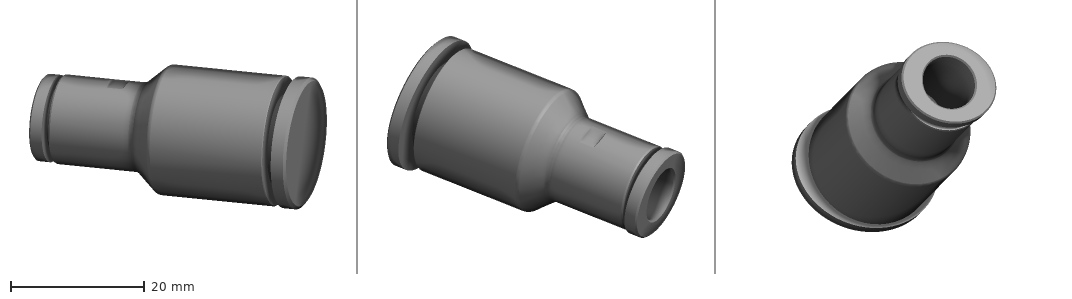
import cadquery as cq

overall_length = 41.2
small_flange_thickness = 2.0
small_body_start = 2.85
cone_start = 15.8
cone_end = 19.3
large_body_end = 37.15
large_flange_start = 38.95

small_neck_radius = 4.85
small_body_radius = 6.75
large_body_radius = 9.85
large_neck_radius = 7.1
small_rim_chamfer_length = 0.25
small_rim_chamfer_height = 0.12
large_rim_chamfer = 0.12
cone_root_fillet = 1.1
cone_crest_fillet = 0.85

small_flange_width = 15.0
small_flange_height = 12.95
small_flange_chamfer = 0.25
large_flange_width = 22.5
large_flange_height = 19.53
large_flange_chamfer_length = 0.5
large_flange_chamfer_height = 0.37

socket_radius = 4.1
socket_depth = cone_start
socket_chamfer = 0.25

flat_start = 10.25
flat_length = 2.95
flat_depth = 0.3


def oval_flange(start, thickness, width, height):
    """Elliptical plate normal to X, starting at the given X position."""
    plane = cq.Workplane("YZ", origin=(start, 0, 0))
    return plane.ellipse(width / 2, height / 2).extrude(thickness)


def turned_body():
    """Stepped body of revolution joining the two flanges."""
    profile = [
        (small_flange_thickness, 0),
        (small_flange_thickness, small_neck_radius),
        (small_body_start, small_neck_radius),
        (small_body_start, small_body_radius - small_rim_chamfer_height),
        (small_body_start + small_rim_chamfer_length, small_body_radius),
        (cone_start, small_body_radius),
        (cone_end, large_body_radius),
        (large_body_end - large_rim_chamfer, large_body_radius),
        (large_body_end, large_body_radius - large_rim_chamfer),
        (large_body_end, large_neck_radius),
        (large_flange_start, large_neck_radius),
        (large_flange_start, 0),
    ]
    body = cq.Workplane("XY").polyline(profile).close().revolve(360, (0, 0, 0), (1, 0, 0))
    body = fillet_rim(body, cone_start, small_body_radius, cone_root_fillet)
    return fillet_rim(body, cone_end, large_body_radius, cone_crest_fillet)


def fillet_rim(body, station, rim_radius, fillet_radius):
    """Round the circular edge of the given radius at one X position."""
    margin = 0.05
    reach = rim_radius + margin
    rim = cq.selectors.BoxSelector(
        (station - margin, -reach, -reach), (station + margin, reach, reach), boundingbox=True
    )
    return body.edges(rim).fillet(fillet_radius)


def tube_socket():
    """Blind bore with a chamfered mouth, revolved about X."""
    mouth_radius = socket_radius + socket_chamfer
    profile = [
        (0, 0),
        (0, mouth_radius),
        (socket_chamfer, socket_radius),
        (socket_depth, socket_radius),
        (socket_depth, 0),
    ]
    return cq.Workplane("XY").polyline(profile).close().revolve(360, (0, 0, 0), (1, 0, 0))


def top_flat():
    """Prism along Y with 45-degree ends that cuts the flat."""
    flat_end = flat_start + flat_length
    profile = [
        (flat_start, small_body_radius),
        (flat_start + flat_depth, small_body_radius - flat_depth),
        (flat_end - flat_depth, small_body_radius - flat_depth),
        (flat_end, small_body_radius),
    ]
    return cq.Workplane("XZ").polyline(profile).close().extrude(small_body_radius, both=True)


small_flange = oval_flange(0, small_flange_thickness, small_flange_width, small_flange_height)
small_flange = small_flange.faces("<X").edges().chamfer(small_flange_chamfer)

large_flange_thickness = overall_length - large_flange_start
large_flange = oval_flange(
    large_flange_start, large_flange_thickness, large_flange_width, large_flange_height
)
large_flange = large_flange.faces(">X").edges().chamfer(
    large_flange_chamfer_height, large_flange_chamfer_length
)

result = turned_body().union(small_flange).union(large_flange)
result = result.cut(tube_socket()).cut(top_flat())